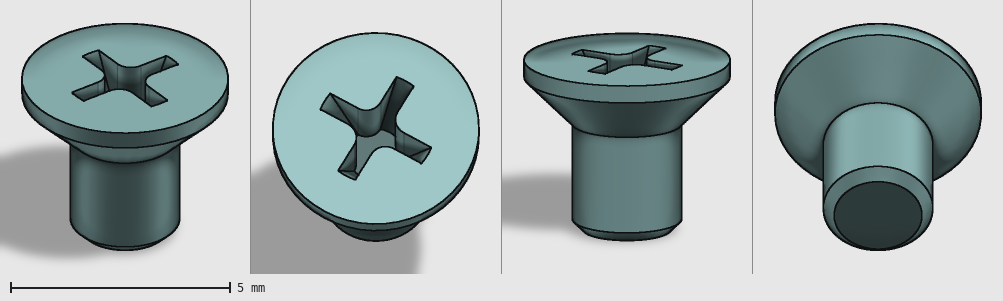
import cadquery as cq

head_diameter = 4.7
shank_diameter = 2.5
total_height = 4.0
rim_height = 0.4
tip_chamfer = 0.25

recess_top_diameter = 2.7
recess_floor_diameter = 1.27
recess_depth = 1.6
slot_width = 0.45
slot_corner_radius = 0.375

head_radius = head_diameter / 2
shank_radius = shank_diameter / 2
rim_bottom = total_height - rim_height
cone_height = head_radius - shank_radius
shank_top = rim_bottom - cone_height
recess_floor = total_height - recess_depth


def make_body():
    """Revolve the half profile of the screw about Z."""
    return (
        cq.Workplane("XZ")
        .lineTo(shank_radius - tip_chamfer, 0)
        .lineTo(shank_radius, tip_chamfer)
        .lineTo(shank_radius, shank_top)
        .lineTo(head_radius, rim_bottom)
        .lineTo(head_radius, total_height)
        .lineTo(0, total_height)
        .close()
        .revolve(360, (0, 0, 0), (0, 1, 0))
    )


def make_recess():
    """Straight-walled cross with rounded inner corners, cut down to a tapered cone."""
    slot_length = recess_top_diameter + slot_width
    floor_plane = cq.Workplane("XY").workplane(offset=recess_floor)
    slot_x = floor_plane.rect(slot_length, slot_width).extrude(recess_depth)
    slot_y = floor_plane.rect(slot_width, slot_length).extrude(recess_depth)
    inner_corners = cq.selectors.BoxSelector(
        (-slot_width, -slot_width, recess_floor),
        (slot_width, slot_width, total_height),
    )
    cross = slot_x.union(slot_y).edges("|Z").edges(inner_corners).fillet(slot_corner_radius)
    cone = (
        floor_plane.circle(recess_floor_diameter / 2)
        .workplane(offset=recess_depth)
        .circle(recess_top_diameter / 2)
        .loft(ruled=True)
    )
    return cross.intersect(cone)


result = make_body().cut(make_recess())